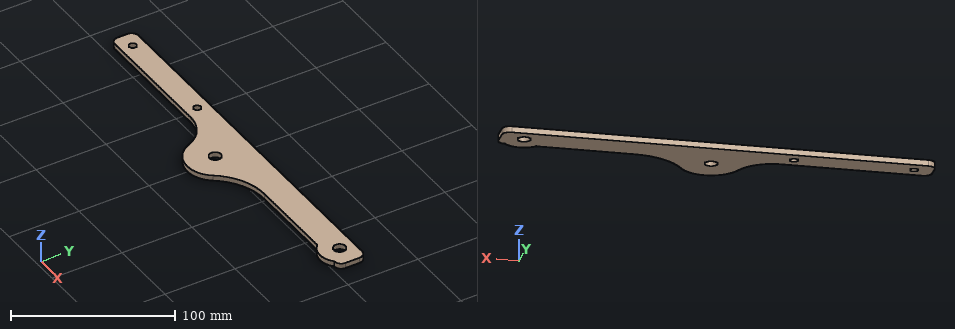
import cadquery as cq
import math

length = 270.0
thickness = 4.0
left_arm_width = 17.0
right_arm_width = 20.0
corner_radius = 5.0

pivot_radius = 20.0
overall_width = 45.15
pivot_x = 134.92
pivot_y = pivot_radius - overall_width
pivot_hole_diameter = 8.0
left_blend_radius = 25.0
right_blend_radius = 40.0

ear_radius = 14.1
ear_hole_diameter = 8.1
ear_end_distance = 15.0
ear_x = length - ear_end_distance
ear_y = -9.95

mount_hole_diameter = 5.0
mount_hole_spacing = 75.0
first_mount_x = 12.0
mount_y = -left_arm_width / 2


def blend_points(blend_radius, arm_width, side):
    """Start, middle and end of the arc tangent to an arm edge and to the pivot lobe.

    side is -1 for the left arm and +1 for the right arm.
    """
    center_y = -arm_width - blend_radius
    center_distance = pivot_radius + blend_radius
    drop = pivot_y - center_y
    reach = math.sqrt(center_distance**2 - drop**2)
    center_x = pivot_x + side * reach
    lobe_angle = math.atan2(drop, -side * reach)
    edge_angle = math.pi / 2

    def on_arc(angle):
        return (
            center_x + blend_radius * math.cos(angle),
            center_y + blend_radius * math.sin(angle),
        )

    return on_arc(edge_angle), on_arc((edge_angle + lobe_angle) / 2), on_arc(lobe_angle)


def plate_body():
    """Both arms and the pivot lobe, with the four end corners rounded."""
    left_edge, left_middle, left_lobe = blend_points(left_blend_radius, left_arm_width, -1)
    right_edge, right_middle, right_lobe = blend_points(right_blend_radius, right_arm_width, 1)
    outline = (
        cq.Workplane("XY")
        .moveTo(0, 0)
        .lineTo(0, -left_arm_width)
        .lineTo(*left_edge)
        .threePointArc(left_middle, left_lobe)
        .threePointArc((pivot_x, -overall_width), right_lobe)
        .threePointArc(right_middle, right_edge)
        .lineTo(length, -right_arm_width)
        .lineTo(length, 0)
        .close()
    )
    body = outline.extrude(thickness)
    return body.edges("|Z and (<X or >X)").fillet(corner_radius)


def ear():
    """Half disc facing the lower edge, so nothing rises above the back edge."""
    return (
        cq.Workplane("XY")
        .moveTo(ear_x - ear_radius, ear_y)
        .threePointArc((ear_x, ear_y - ear_radius), (ear_x + ear_radius, ear_y))
        .close()
        .extrude(thickness)
    )


def hole_cutter(x, y, diameter):
    """Full-thickness cylinder that cuts one through hole."""
    return cq.Workplane("XY").center(x, y).circle(diameter / 2).extrude(thickness)


result = plate_body().union(ear())
result = result.cut(hole_cutter(pivot_x, pivot_y, pivot_hole_diameter))
result = result.cut(hole_cutter(ear_x, ear_y, ear_hole_diameter))
for mount_x in (first_mount_x, first_mount_x + mount_hole_spacing):
    result = result.cut(hole_cutter(mount_x, mount_y, mount_hole_diameter))